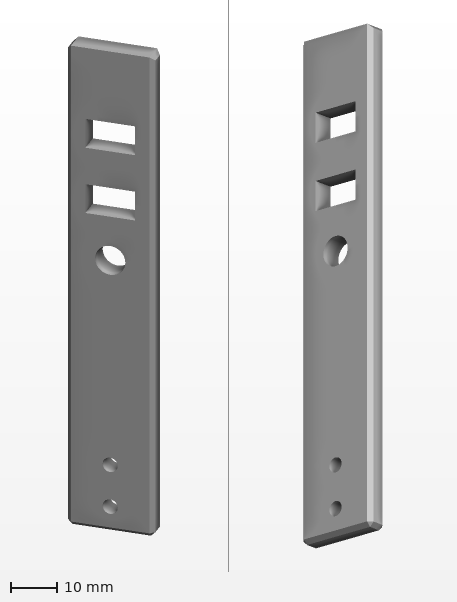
import cadquery as cq

width = 20.0
thickness = 5.0
length = 115.0
bevel = 1.0

top = length / 2
bottom = -length / 2

window_width = 11.4
window_height = 6.9
upper_window_drop = 20.5
window_pitch = 15.6
window_count = 2

large_hole_diameter = 6.9
large_hole_drop = 50.0

small_hole_diameter = 3.5
small_hole_heights = (6.0, 16.0)


def bevelled_bar():
    """Bar with every edge bevelled except the front and back edges of the top end."""
    bar = cq.Workplane("XY").box(width, thickness, length)
    long_edges = bar.edges("|Z")
    bottom_edges = bar.faces("<Z").edges()
    top_side_edges = bar.faces(">Z").edges("|Y")
    return bar.newObject(long_edges.vals() + bottom_edges.vals() + top_side_edges.vals()).chamfer(bevel)


def window(center_z):
    """Cutter for a rectangular window through the thickness."""
    return cq.Workplane("XY").box(window_width, thickness, window_height).translate((0, 0, center_z))


def round_hole(diameter, center_z):
    """Cutter for a round hole through the thickness."""
    profile = cq.Workplane("XZ").center(0, center_z).circle(diameter / 2)
    return profile.extrude(thickness / 2, both=True)


result = bevelled_bar()

for index in range(window_count):
    result = result.cut(window(top - upper_window_drop - index * window_pitch))

result = result.cut(round_hole(large_hole_diameter, top - large_hole_drop))

for height in small_hole_heights:
    result = result.cut(round_hole(small_hole_diameter, bottom + height))